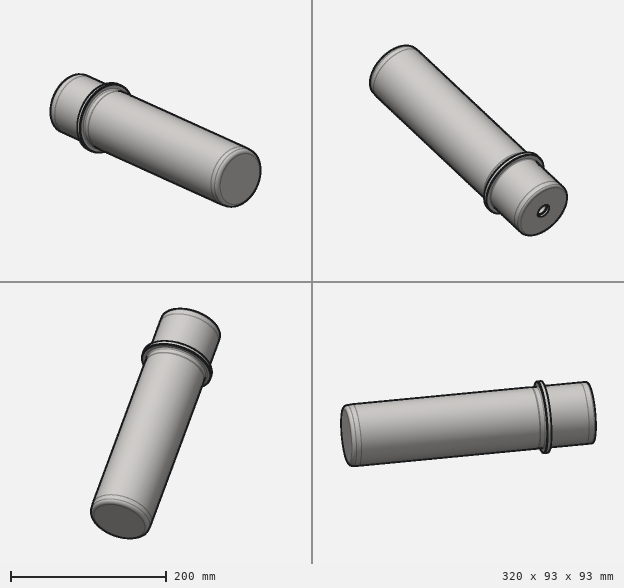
import cadquery as cq
import math

length = 320.0
radius = 40.0

mount_rim_fillet = 3.0
mount_entry_end = 10.0
mount_entry_radius = radius - 0.05

flange_start = 60.0
flange_end = 66.0
flange_radius = 46.5
mount_side_chamfer = 0.4
guide_side_chamfer = 0.8
mount_side_fillet = 0.8
guide_side_fillet = 1.5

relief_radius = radius - 0.25
relief_floor_end = 73.5
relief_end = 74.5

lead_start = 308.5
lead_end = 315.0
lead_angle = 5.0
lead_radius = radius - (lead_end - lead_start) * math.tan(math.radians(lead_angle))
guide_rim_fillet = length - lead_end

counterbore_radius = 9.25
counterbore_depth = 4.0
hole_radius = 7.5
hole_depth = 30.0
drill_point_angle = 118.0


def make_body():
    """Revolve the half profile of the pillar about the X axis."""
    bend = 1 - math.sqrt(0.5)
    mount_rim_mid = (
        mount_rim_fillet * bend,
        mount_entry_radius - mount_rim_fillet * bend,
    )
    mount_side_mid = (
        flange_start - mount_side_fillet * bend,
        radius + mount_side_fillet * bend,
    )
    guide_side_mid = (
        flange_end + guide_side_fillet * bend,
        relief_radius + guide_side_fillet * bend,
    )
    guide_rim_mid = (
        length - guide_rim_fillet * bend,
        lead_radius - guide_rim_fillet * bend,
    )
    profile = (
        cq.Workplane("XZ")
        .moveTo(0, 0)
        .lineTo(0, mount_entry_radius - mount_rim_fillet)
        .threePointArc(mount_rim_mid, (mount_rim_fillet, mount_entry_radius))
        .lineTo(mount_entry_end, radius)
        .lineTo(flange_start - mount_side_fillet, radius)
        .threePointArc(mount_side_mid, (flange_start, radius + mount_side_fillet))
        .lineTo(flange_start, flange_radius - mount_side_chamfer)
        .lineTo(flange_start + mount_side_chamfer, flange_radius)
        .lineTo(flange_end - guide_side_chamfer, flange_radius)
        .lineTo(flange_end, flange_radius - guide_side_chamfer)
        .lineTo(flange_end, relief_radius + guide_side_fillet)
        .threePointArc(guide_side_mid, (flange_end + guide_side_fillet, relief_radius))
        .lineTo(relief_floor_end, relief_radius)
        .lineTo(relief_end, radius)
        .lineTo(lead_start, radius)
        .lineTo(lead_end, lead_radius)
        .threePointArc(guide_rim_mid, (length, lead_radius - guide_rim_fillet))
        .lineTo(length, 0)
        .close()
    )
    return profile.revolve(360, (0, 0, 0), (1, 0, 0))


def make_centre_hole():
    """Solid of the counterbored blind hole with its conical drill point."""
    point_depth = hole_radius / math.tan(math.radians(drill_point_angle / 2))
    profile = (
        cq.Workplane("XZ")
        .moveTo(0, 0)
        .lineTo(0, counterbore_radius)
        .lineTo(counterbore_depth, counterbore_radius)
        .lineTo(counterbore_depth, hole_radius)
        .lineTo(hole_depth, hole_radius)
        .lineTo(hole_depth + point_depth, 0)
        .close()
    )
    return profile.revolve(360, (0, 0, 0), (1, 0, 0))


result = make_body().cut(make_centre_hole())